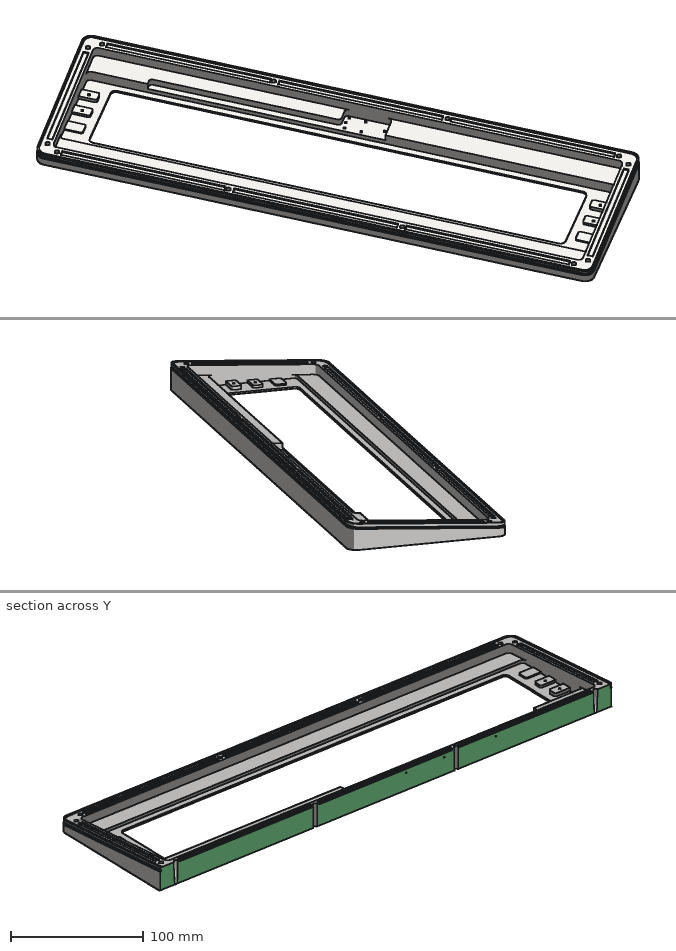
import cadquery as cq
import math

LENGTH = 441.5
WIDTH = 126.0
HEIGHT = 21.0
TILT = 5.0
CORNER_RADIUS = 7.5

LIP_INSET = 0.2
LIP_HEIGHT = 2.5
GROOVE_HEIGHT = 1.5
GROOVE_DEPTH = 1.0
BEAD_WIDTH = 1.4
BEAD_HEIGHT = 0.5

SIDE_RIM = 10.5
END_RIM = 11.0
CAVITY_RADIUS = 3.5
SHELF_DEPTH = 8.0

FLOOR_Z = 1.55
FLOOR_WIDTH = 70.5
FLOOR_RADIUS = 3.0
WINDOW_LENGTH = 377.0
WINDOW_WIDTH = 60.0
WINDOW_RADIUS = 4.0

SLOT_WIDTH = 4.0
SLOT_DEPTH = 1.5
LONG_SLOT = 130.0
LONG_SLOT_PITCH = 136.5
SIDE_SLOT = 92.0
SLOT_X = 214.0
SLOT_Y = 57.0
SCREW_DIAMETER = 3.4
CORNER_SCREW_X = 205.0
SIDE_SCREW_Y = 50.8
SIDE_SCREW_DEPTH = 5.5
PIN_DIAMETER = 3.4
PIN_X = 69.0

BOARD_Z = 5.5
BOARD_LEFT = -10.5
BOARD_RIGHT = 26.5
CHANNEL_LEFT = -162.0
CHANNEL_BACK = 40.5
CHANNEL_RADIUS = 2.5
BOARD_HOLE_DIAMETER = 1.6
BOARD_HOLE_DEPTH = 1.8
BOARD_HOLES = [(-7.0, 50.5), (6.0, 50.5), (-7.0, 39.0), (6.0, 39.0), (-8.0, 45.0), (23.0, 44.5)]

PADS = [(16.8, 8.0, 4.5, True), (-0.5, 8.0, 3.5, True), (-18.5, 9.3, 2.5, False)]
PAD_INNER_X = 195.0
PAD_RADIUS = 1.8
PAD_HOLE_X = 202.5
PAD_HOLE_DIAMETER = 1.6
PAD_HOLE_DEPTH = 1.8

TILT_RADIANS = math.radians(TILT)
BEAD_RISE = BEAD_HEIGHT / math.cos(TILT_RADIANS)
REAR_RISE = math.tan(TILT_RADIANS) * (WIDTH / 2 - LIP_INSET)
MID_HEIGHT = HEIGHT - REAR_RISE - BEAD_RISE
CAVITY_LENGTH = LENGTH - 2 * END_RIM
CAVITY_WIDTH = WIDTH - 2 * SIDE_RIM
OVERSIZE = 2 * HEIGHT


def rounded_prism(length, width, radius, bottom=0):
    """Tall upright block centred on the Z axis with rounded vertical edges."""
    block = cq.Workplane("XY").workplane(offset=bottom).rect(length, width).extrude(OVERSIZE)
    return block.edges("|Z").fillet(radius)


def tilted(shape):
    """Move a shape drawn with the top face at Z = 0 onto the sloped top face."""
    return shape.rotate((0, 0, 0), (1, 0, 0), TILT).translate((0, 0, MID_HEIGHT))


def below_slope(shape, drop):
    """Remove everything above a plane lying `drop` under the top face."""
    above = cq.Workplane("XY").workplane(offset=-drop).rect(2 * LENGTH, 2 * WIDTH).extrude(2 * OVERSIZE)
    return shape.cut(tilted(above))


def drill(points, diameter, bottom, height):
    """Upright pins used to cut holes."""
    return cq.Workplane("XY").workplane(offset=bottom).pushPoints(points).circle(diameter / 2).extrude(height)


def mirrored(x, y):
    """The four points at plus and minus x and y."""
    return [(side_x * x, side_y * y) for side_x in (-1, 1) for side_y in (-1, 1)]


def sloped_block(inset, drop):
    """Case outline drawn in by `inset` and cut parallel to the slope, `drop` below the bead."""
    block = rounded_prism(LENGTH - 2 * inset, WIDTH - 2 * inset, CORNER_RADIUS - inset)
    return below_slope(block, drop - BEAD_HEIGHT)


def make_body():
    wall = sloped_block(0, LIP_HEIGHT + GROOVE_HEIGHT)
    core = sloped_block(GROOVE_DEPTH, BEAD_HEIGHT)
    lip = sloped_block(LIP_INSET, 0).cut(sloped_block(0, LIP_HEIGHT))
    inside_bead = sloped_block(LIP_INSET + BEAD_WIDTH, 0).cut(sloped_block(0, BEAD_HEIGHT))
    return wall.union(core).union(lip).cut(inside_bead)


def cut_cavity(body):
    cavity = rounded_prism(CAVITY_LENGTH, CAVITY_WIDTH, CAVITY_RADIUS)
    cavity = cavity.cut(below_slope(cavity, SHELF_DEPTH))
    floor = rounded_prism(CAVITY_LENGTH, FLOOR_WIDTH, FLOOR_RADIUS, FLOOR_Z)
    window = rounded_prism(WINDOW_LENGTH, WINDOW_WIDTH, WINDOW_RADIUS)
    return body.cut(cavity).cut(floor).cut(window)


def cut_rim_slots(body):
    base = cq.Workplane("XY").workplane(offset=-SLOT_DEPTH)
    long_centres = [(i * LONG_SLOT_PITCH, y) for i in (-1, 0, 1) for y in (-SLOT_Y, SLOT_Y)]
    side_centres = [(-SLOT_X, 0), (SLOT_X, 0)]
    long_slots = base.pushPoints(long_centres).rect(LONG_SLOT, SLOT_WIDTH).extrude(OVERSIZE)
    side_slots = base.pushPoints(side_centres).rect(SLOT_WIDTH, SIDE_SLOT).extrude(OVERSIZE)
    return body.cut(tilted(long_slots)).cut(tilted(side_slots))


def cut_rim_holes(body):
    """Through and blind screw holes square to the slope, and upright pin holes between the slots."""
    corner = drill(mirrored(CORNER_SCREW_X, SLOT_Y), SCREW_DIAMETER, -OVERSIZE, 2 * OVERSIZE)
    side = drill(mirrored(SLOT_X, SIDE_SCREW_Y), SCREW_DIAMETER, -SIDE_SCREW_DEPTH, OVERSIZE)
    pins = drill(mirrored(PIN_X, SLOT_Y), PIN_DIAMETER, 0, OVERSIZE)
    return body.cut(tilted(corner)).cut(tilted(side)).cut(pins)


def cut_board_recess(body):
    """The recess runs from the rear cavity wall into the sunken floor, where it is open."""
    front = FLOOR_WIDTH / 2 - FLOOR_RADIUS
    back = CAVITY_WIDTH / 2
    recess = (
        cq.Workplane("XY").workplane(offset=BOARD_Z)
        .moveTo(CHANNEL_LEFT, front)
        .lineTo(CHANNEL_LEFT, CHANNEL_BACK)
        .lineTo(BOARD_LEFT, CHANNEL_BACK)
        .lineTo(BOARD_LEFT, back)
        .lineTo(BOARD_RIGHT, back)
        .lineTo(BOARD_RIGHT, front)
        .close()
        .extrude(MID_HEIGHT - BOARD_Z)
        .edges("|Z").edges("not <Y").fillet(CHANNEL_RADIUS)
    )
    holes = drill(BOARD_HOLES, BOARD_HOLE_DIAMETER, BOARD_Z - BOARD_HOLE_DEPTH, BOARD_HOLE_DEPTH)
    return body.cut(recess).cut(holes)


def add_pads(body):
    """Pads reach from the floor into the end walls, so that only their inner corners show round."""
    outer_x = CAVITY_LENGTH / 2 + END_RIM / 2
    root_z = FLOOR_Z / 2
    for y, width, top, drilled in PADS:
        for side in (-1, 1):
            pad = (
                cq.Workplane("XY").workplane(offset=root_z)
                .center(side * (PAD_INNER_X + outer_x) / 2, y)
                .rect(outer_x - PAD_INNER_X, width)
                .extrude(top - root_z)
                .edges("|Z").fillet(PAD_RADIUS)
            )
            body = body.union(pad)
            if drilled:
                hole_bottom = top - PAD_HOLE_DEPTH
                hole = drill([(side * PAD_HOLE_X, y)], PAD_HOLE_DIAMETER, hole_bottom, PAD_HOLE_DEPTH)
                body = body.cut(hole)
    return body


result = make_body()
result = cut_cavity(result)
result = cut_rim_slots(result)
result = cut_rim_holes(result)
result = cut_board_recess(result)
result = add_pads(result)